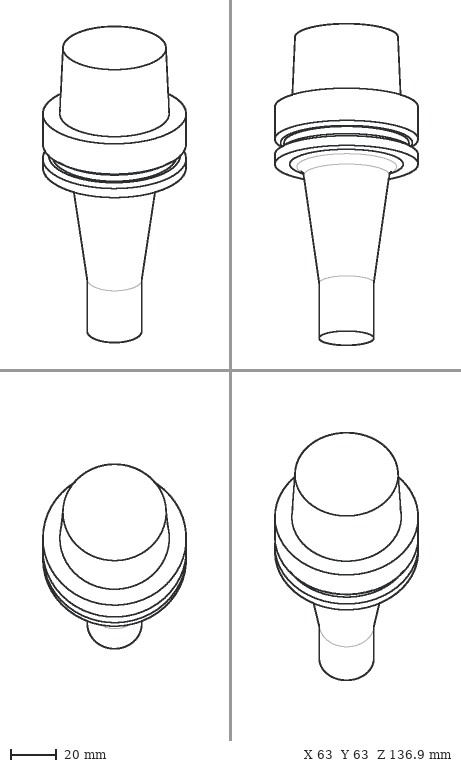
import cadquery as cq
import math

total_height = 136.9
shank_height = 25.2
flange_bottom = 79.1
flange_top = 105.1
groove_bottom = 85.2
groove_top = 88.8
bevel_height = 1.6

shank_diameter = 24.1
neck_top_diameter = 37.6
flange_diameter = 63.0
groove_diameter = 54.9
bevel_inner_diameter = 57.9
taper_base_diameter = 48.0
taper_top_diameter = 45.3

neck_top_height = 74.2
fillet_radius = 4.8
cone_slope_degrees = 20

full_turn = 360
shank_radius = shank_diameter / 2
neck_top_radius = neck_top_diameter / 2
flange_radius = flange_diameter / 2
groove_radius = groove_diameter / 2
bevel_inner_radius = bevel_inner_diameter / 2

neck_lean = math.atan2(neck_top_radius - shank_radius, neck_top_height - shank_height)
cone_slope = math.radians(cone_slope_degrees)
fillet_center_x = neck_top_radius + fillet_radius * math.cos(neck_lean)
fillet_center_z = neck_top_height - fillet_radius * math.sin(neck_lean)
fillet_end_x = fillet_center_x - fillet_radius * math.sin(cone_slope)
fillet_end_z = fillet_center_z + fillet_radius * math.cos(cone_slope)
cone_outer_radius = fillet_end_x + (flange_bottom - fillet_end_z) / math.tan(cone_slope)

result = (
    cq.Workplane("XZ")
    .lineTo(shank_radius, 0)
    .lineTo(shank_radius, shank_height)
    .lineTo(neck_top_radius, neck_top_height)
    .tangentArcPoint((fillet_end_x, fillet_end_z), relative=False)
    .lineTo(cone_outer_radius, flange_bottom)
    .lineTo(flange_radius, flange_bottom)
    .lineTo(flange_radius, groove_bottom - bevel_height)
    .lineTo(bevel_inner_radius, groove_bottom)
    .lineTo(groove_radius, groove_bottom)
    .lineTo(groove_radius, groove_top)
    .lineTo(bevel_inner_radius, groove_top)
    .lineTo(flange_radius, groove_top + bevel_height)
    .lineTo(flange_radius, flange_top)
    .lineTo(taper_base_diameter / 2, flange_top)
    .lineTo(taper_top_diameter / 2, total_height)
    .lineTo(0, total_height)
    .close()
    .revolve(full_turn, (0, 0, 0), (0, 1, 0))
)